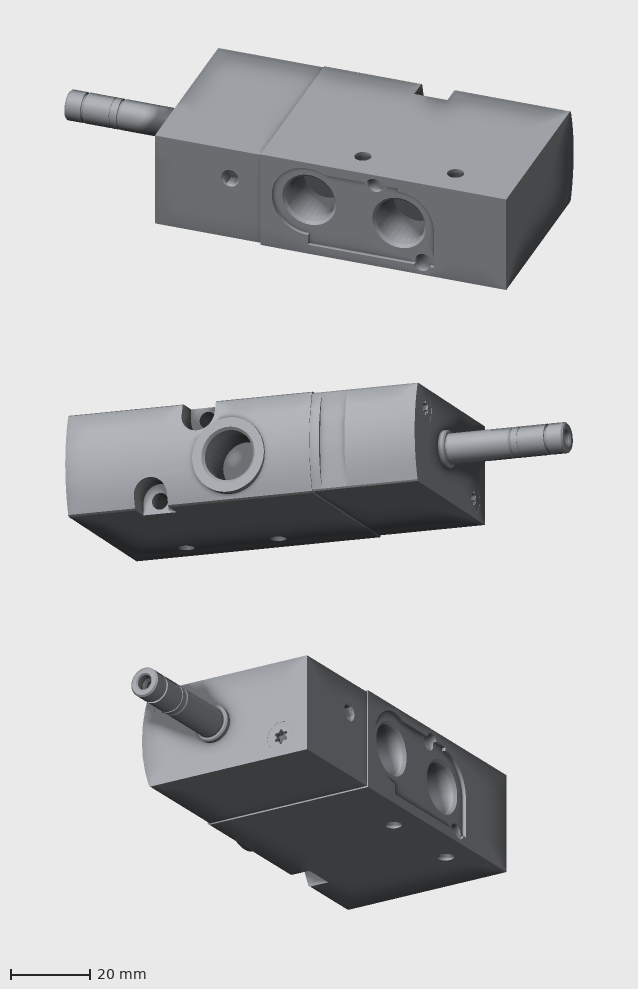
import cadquery as cq
import math


HOUSING_LENGTH = 66.2
HOUSING_HEIGHT = 26.5
BACK_EDGE_Y = 47.8
BACK_CREST_Y = 49.8
HOUSING_EDGE_BEVEL_Y = 0.6
HOUSING_EDGE_BEVEL_Z = 0.4

PORT_DIAMETER = 13.1
PORT_FLOOR_DIAMETER = 12.5
PORT_MOUTH_DIAMETER = 14.5
PORT_DEPTH = 12.8
PORT_OFFSET_Z = 1.9
EXHAUST_PORT_X = 12.8
SUPPLY_PORT_X = 37.0
OUTLET_PORT_X = 21.8
PORT_BOSS_DIAMETER = 19.5
PORT_BOSS_ROOT_Y = 46.1
PORT_BOSS_TOP_Y = 50.5

RECESS_HALF_HEIGHT = 10.6
RECESS_DEPTH = 1.0

BOLT_DIAMETER = 4.4
FRONT_BOLTS = [(30.6, 10.0), (43.5, -10.0)]
HEAD_SLOT_WIDTH = 9.0
HEAD_SEAT_Y = 41.9
VERTICAL_BOLTS_X = [24.7, 49.7]
VERTICAL_BOLTS_Y = 8.0

PILOT_LENGTH = 28.6
PILOT_STEP = 0.4
PILOT_BACK_STEP = PILOT_STEP / 2
PILOT_EDGE_BEVEL = 0.4
NOTCH_CENTER_X = -6.0
NOTCH_WIDTH = 6.9
NOTCH_FLOOR_Y = 48.8

SCREW_CENTERS = [(41.9, 7.7), (8.2, -7.7)]
SCREW_HEAD_DIAMETER = 8.0
SCREW_HEAD_INSET = 0.06
SOCKET_CORE_DIAMETER = 2.8
SOCKET_LOBE_DIAMETER = 0.9
SOCKET_OUTER_DIAMETER = 4.0
SOCKET_LOBES = 6
SCREW_SOCKET_DEPTH = 1.9

OVERRIDE_X = -8.3
OVERRIDE_Z = 4.4
OVERRIDE_DIAMETER = 10.0
OVERRIDE_LENGTH = 5.1
HEX_ACROSS_FLATS = 3.8
HEX_DEPTH = 3.8
HEX_SIDES = 6
HEX_MOUTH_DIAMETER = 4.7

STEM_LENGTH = 33.3
STEM_Y = 28.3
STEM_DIAMETER = 8.0
TIP_CHAMFER = 0.45
FLANGE_DIAMETER = 9.9
FLANGE_LENGTH = 1.5
FLANGE_CHAMFER = 0.4
TIP_GROOVE = (4.4, 5.1)
TIP_GROOVE_DIAMETER = 7.0
FINE_GROOVE = (12.0, 12.4)
FINE_GROOVE_DIAMETER = 7.5
VEE_GROOVE = (14.1, 14.9)
VEE_GROOVE_DIAMETER = 7.0
BORE_MOUTH_DIAMETER = 4.7
BORE_DIAMETER = 4.0
BORE_DEPTH = 2.5
BORE_STEP_DIAMETER = 2.4
BORE_TIP_DIAMETER = 0.9
BORE_CONE_DEPTH = 0.8
BORE_STEP_DEPTH = 0.6


def curved_back_block(start_x, length, inset, back_inset, bevel_y, bevel_z):
    """Block along +X whose back face is a shallow arc with bevelled long edges."""
    half_height = HOUSING_HEIGHT / 2 - inset
    front_y = inset
    edge_y = BACK_EDGE_Y - back_inset
    crest_y = BACK_CREST_Y - back_inset
    return (
        cq.Workplane("YZ", origin=(start_x, 0, 0))
        .moveTo(front_y, -half_height)
        .lineTo(edge_y - bevel_y, -half_height)
        .lineTo(edge_y, -half_height + bevel_z)
        .threePointArc((crest_y, 0), (edge_y, half_height - bevel_z))
        .lineTo(edge_y - bevel_y, half_height)
        .lineTo(front_y, half_height)
        .close()
        .extrude(length)
    )


def rod_along_y(x, z, diameter, start_y, end_y):
    return cq.Workplane("XZ", origin=(x, start_y, z)).circle(diameter / 2).extrude(start_y - end_y)


def port_cutter(x, z, face_y, inward):
    """Blind, slightly tapered port with a 45 degree mouth; inward is +1 or -1 along Y."""
    bore_radius = PORT_DIAMETER / 2
    floor_radius = PORT_FLOOR_DIAMETER / 2
    mouth_radius = PORT_MOUTH_DIAMETER / 2
    mouth_depth = mouth_radius - bore_radius
    profile = (
        cq.Workplane("XY", origin=(x, face_y, z))
        .moveTo(0, 0)
        .lineTo(mouth_radius, 0)
        .lineTo(bore_radius, inward * mouth_depth)
        .lineTo(floor_radius, inward * PORT_DEPTH)
        .lineTo(0, inward * PORT_DEPTH)
        .close()
    )
    return profile.revolve(360, (0, 0, 0), (0, 1, 0))


def front_recess():
    """Recess outline that follows the exhaust port on the left and the supply port on the right."""
    radius = PORT_BOSS_DIAMETER / 2
    exhaust_rise = RECESS_HALF_HEIGHT - PORT_OFFSET_Z
    exhaust_top_x = EXHAUST_PORT_X + math.sqrt(radius**2 - exhaust_rise**2)
    right_x = SUPPLY_PORT_X + radius
    diagonal = radius * math.sqrt(0.5)
    return (
        cq.Workplane("XZ")
        .moveTo(EXHAUST_PORT_X, PORT_OFFSET_Z - radius)
        .threePointArc((EXHAUST_PORT_X - radius, PORT_OFFSET_Z), (exhaust_top_x, RECESS_HALF_HEIGHT))
        .lineTo(SUPPLY_PORT_X, RECESS_HALF_HEIGHT)
        .lineTo(SUPPLY_PORT_X, radius)
        .threePointArc((SUPPLY_PORT_X + diagonal, diagonal), (right_x, 0))
        .lineTo(right_x, -RECESS_HALF_HEIGHT)
        .lineTo(EXHAUST_PORT_X, -RECESS_HALF_HEIGHT)
        .close()
        .extrude(-RECESS_DEPTH)
    )


def head_slot(x, z):
    """Round-bottomed bolt head slot in the back, open to the nearer of the top and bottom faces."""
    radius = HEAD_SLOT_WIDTH / 2
    open_z = math.copysign(HOUSING_HEIGHT / 2, z)
    bottom_z = z - math.copysign(radius, z)
    return (
        cq.Workplane("XZ", origin=(0, HEAD_SEAT_Y, 0))
        .moveTo(x - radius, open_z)
        .lineTo(x - radius, z)
        .threePointArc((x, bottom_z), (x + radius, z))
        .lineTo(x + radius, open_z)
        .close()
        .extrude(HEAD_SEAT_Y - PORT_BOSS_TOP_Y)
    )


def make_housing():
    body = curved_back_block(0, HOUSING_LENGTH, 0, 0, HOUSING_EDGE_BEVEL_Y, HOUSING_EDGE_BEVEL_Z)
    body = body.union(
        rod_along_y(OUTLET_PORT_X, -PORT_OFFSET_Z, PORT_BOSS_DIAMETER, PORT_BOSS_ROOT_Y, PORT_BOSS_TOP_Y)
    )
    body = body.cut(front_recess())
    body = body.cut(port_cutter(EXHAUST_PORT_X, PORT_OFFSET_Z, RECESS_DEPTH, 1))
    body = body.cut(port_cutter(SUPPLY_PORT_X, 0, RECESS_DEPTH, 1))
    body = body.cut(port_cutter(OUTLET_PORT_X, -PORT_OFFSET_Z, PORT_BOSS_TOP_Y, -1))
    for x, z in FRONT_BOLTS:
        body = body.cut(rod_along_y(x, z, BOLT_DIAMETER, 0, PORT_BOSS_TOP_Y))
        body = body.cut(head_slot(x, z))
    vertical_holes = (
        cq.Workplane("XY", origin=(0, 0, -HOUSING_HEIGHT / 2))
        .pushPoints([(x, VERTICAL_BOLTS_Y) for x in VERTICAL_BOLTS_X])
        .circle(BOLT_DIAMETER / 2)
        .extrude(HOUSING_HEIGHT)
    )
    return body.cut(vertical_holes)


def screw_recess(y, z):
    """Slightly sunk screw head with a six-lobed socket."""
    end_face = cq.Workplane("YZ", origin=(-PILOT_LENGTH, y, z))
    lobe_circle_radius = (SOCKET_OUTER_DIAMETER - SOCKET_LOBE_DIAMETER) / 2
    head = end_face.circle(SCREW_HEAD_DIAMETER / 2).extrude(SCREW_HEAD_INSET)
    core = end_face.circle(SOCKET_CORE_DIAMETER / 2).extrude(SCREW_SOCKET_DEPTH)
    lobes = (
        end_face.polarArray(lobe_circle_radius, 90, 360, SOCKET_LOBES)
        .circle(SOCKET_LOBE_DIAMETER / 2)
        .extrude(SCREW_SOCKET_DEPTH)
    )
    return head.union(core).union(lobes)


def override_blank():
    return rod_along_y(
        OVERRIDE_X, OVERRIDE_Z, OVERRIDE_DIAMETER, PILOT_STEP, PILOT_STEP + OVERRIDE_LENGTH
    )


def back_notch():
    """Notch across the back whose floor is a flatter arc between the same two edges."""
    edge_y = BACK_EDGE_Y - PILOT_BACK_STEP
    edge_z = HOUSING_HEIGHT / 2 - PILOT_STEP - PILOT_EDGE_BEVEL
    return (
        cq.Workplane("YZ", origin=(NOTCH_CENTER_X - NOTCH_WIDTH / 2, 0, 0))
        .moveTo(edge_y, -edge_z)
        .threePointArc((NOTCH_FLOOR_Y, 0), (edge_y, edge_z))
        .lineTo(BACK_CREST_Y, edge_z)
        .lineTo(BACK_CREST_Y, -edge_z)
        .close()
        .extrude(NOTCH_WIDTH)
    )


def make_pilot():
    body = curved_back_block(
        -PILOT_LENGTH, PILOT_LENGTH, PILOT_STEP, PILOT_BACK_STEP, PILOT_EDGE_BEVEL, PILOT_EDGE_BEVEL
    )
    body = body.cut(back_notch())
    for y, z in SCREW_CENTERS:
        body = body.cut(screw_recess(y, z))
    return body.cut(override_blank())


def make_override():
    face = cq.Workplane("XZ", origin=(OVERRIDE_X, PILOT_STEP, OVERRIDE_Z))
    across_corners = HEX_ACROSS_FLATS / math.cos(math.pi / HEX_SIDES)
    hexagon = face.polygon(HEX_SIDES, across_corners).extrude(-HEX_DEPTH)
    mouth_depth = (HEX_MOUTH_DIAMETER - HEX_ACROSS_FLATS) / 2
    mouth = cq.Solid.makeCone(
        HEX_MOUTH_DIAMETER / 2,
        HEX_ACROSS_FLATS / 2,
        mouth_depth,
        pnt=cq.Vector(OVERRIDE_X, PILOT_STEP, OVERRIDE_Z),
        dir=cq.Vector(0, 1, 0),
    )
    return override_blank().cut(hexagon).cut(cq.Workplane(mouth))


def make_stem():
    """Turned stem, revolved about its own axis from a half profile."""
    stem_radius = STEM_DIAMETER / 2
    flange_radius = FLANGE_DIAMETER / 2
    flange_x = STEM_LENGTH - FLANGE_LENGTH
    bore_lip = (BORE_MOUTH_DIAMETER - BORE_DIAMETER) / 2
    bore_step_x = BORE_DEPTH + BORE_CONE_DEPTH
    bore_tip_x = bore_step_x + BORE_STEP_DEPTH + BORE_CONE_DEPTH
    profile = cq.Workplane("XY", origin=(-PILOT_LENGTH - STEM_LENGTH, STEM_Y, 0)).polyline([
        (bore_tip_x, 0),
        (bore_tip_x, BORE_TIP_DIAMETER / 2),
        (bore_step_x + BORE_STEP_DEPTH, BORE_STEP_DIAMETER / 2),
        (bore_step_x, BORE_STEP_DIAMETER / 2),
        (BORE_DEPTH, BORE_DIAMETER / 2),
        (bore_lip, BORE_DIAMETER / 2),
        (0, BORE_MOUTH_DIAMETER / 2),
        (0, stem_radius - TIP_CHAMFER),
        (TIP_CHAMFER, stem_radius),
        (TIP_GROOVE[0], stem_radius),
        (TIP_GROOVE[0], TIP_GROOVE_DIAMETER / 2),
        (TIP_GROOVE[1], TIP_GROOVE_DIAMETER / 2),
        (TIP_GROOVE[1], stem_radius),
        (FINE_GROOVE[0], stem_radius),
        (FINE_GROOVE[0], FINE_GROOVE_DIAMETER / 2),
        (FINE_GROOVE[1], FINE_GROOVE_DIAMETER / 2),
        (FINE_GROOVE[1], stem_radius),
        (VEE_GROOVE[0], stem_radius),
        (VEE_GROOVE[0], VEE_GROOVE_DIAMETER / 2),
        (VEE_GROOVE[1], stem_radius),
        (flange_x, stem_radius),
        (flange_x, flange_radius - FLANGE_CHAMFER),
        (flange_x + FLANGE_CHAMFER, flange_radius),
        (STEM_LENGTH, flange_radius),
        (STEM_LENGTH, 0),
    ]).close()
    return profile.revolve(360, (0, 0, 0), (1, 0, 0))


housing = make_housing()
pilot = make_pilot()
override = make_override()
stem = make_stem()

result = cq.Compound.makeCompound([housing.val(), pilot.val(), override.val(), stem.val()])